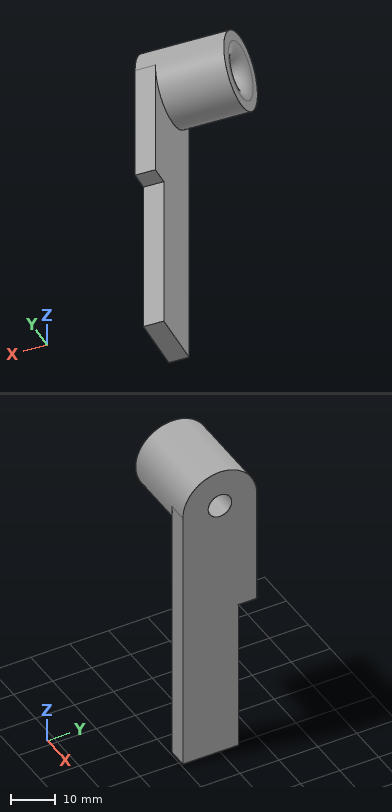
import cadquery as cq

barrel_diameter = 19.0
barrel_radius = barrel_diameter / 2
barrel_length = 21.68

hole_diameter = 6.0
mouth_radius = 4.0

overall_height = 79.0
arm_thickness = 5.0
arm_bottom = barrel_radius - overall_height
step_width = 4.7
step_height = -29.8


def make_barrel():
    """Solid cylinder from X = 0 to X = barrel_length."""
    return cq.Workplane("YZ").circle(barrel_radius).extrude(barrel_length)


def make_arm():
    """Plate as wide as the barrel, narrowed on the +Y side below the step."""
    front = -barrel_radius
    back = barrel_radius
    return (
        cq.Workplane("YZ", origin=(barrel_length - arm_thickness, 0, 0))
        .moveTo(front, 0)
        .lineTo(front, arm_bottom)
        .lineTo(back - step_width, arm_bottom)
        .lineTo(back - step_width, step_height)
        .lineTo(back, step_height)
        .lineTo(back, 0)
        .close()
        .extrude(arm_thickness)
    )


def make_bore():
    """Through hole whose -X mouth flares out in a quarter-round, tangent to the end face."""
    hole_radius = hole_diameter / 2
    flare_radius = hole_radius + mouth_radius
    arc_centre = cq.Vector(mouth_radius, flare_radius)
    arc_middle = arc_centre + cq.Vector(-1, -1).normalized() * mouth_radius
    return (
        cq.Workplane("XY")
        .moveTo(0, 0)
        .lineTo(0, flare_radius)
        .threePointArc((arc_middle.x, arc_middle.y), (mouth_radius, hole_radius))
        .lineTo(barrel_length, hole_radius)
        .lineTo(barrel_length, 0)
        .close()
        .revolve(360, (0, 0, 0), (1, 0, 0))
    )


result = make_barrel().union(make_arm()).cut(make_bore())